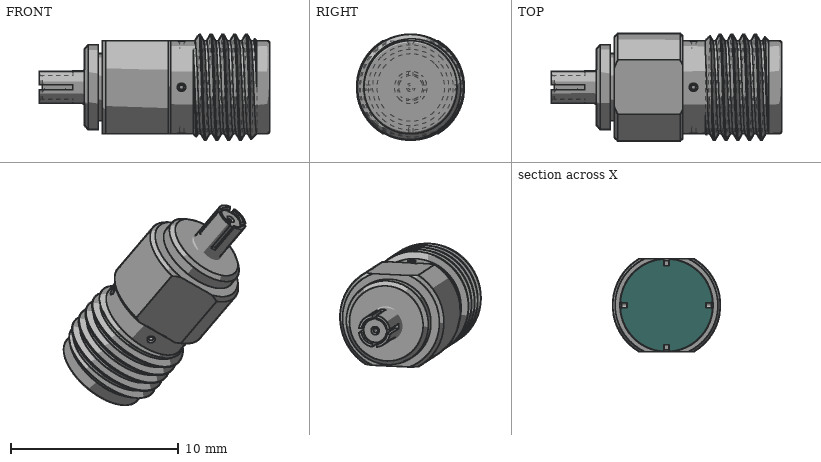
import cadquery as cq
import math


length = 13.8
flange_start = 2.7
flange_end = 3.55
grip_start = 3.77
grip_end = 7.88
thread_start = 9.22
thread_end = 13.01

pin_diameter = 1.95
flange_diameter = 5.09
neck_diameter = 4.05
grip_diameter = 6.46
barrel_diameter = 5.58
thread_diameter = 6.35

pin_root_fillet = 0.12
flange_chamfer_length = 0.23
flange_chamfer_depth = 0.26
grip_front_chamfer = 0.22
grip_rear_chamfer_length = 0.17
grip_rear_chamfer_depth = 0.15
barrel_end_fillet = 0.17

bore_diameter = 1.44
mouth_diameter = 1.61
mouth_depth = 0.1
insulator_face = 0.18
slot_width = 0.29
slot_end = 2.01
contact_diameter = 0.28
contact_depth = 1.38

entry_diameter = 0.5
entry_depth = 0.11
side_hole_x = 8.51
side_hole_diameter = 0.28
side_hole_depth = 0.41
side_hole_count = 4

pitch = 0.7
thread_angle = 60.0
crest_width = 0.08
thread_overlap = 0.05
runout_clearance = 0.14
crest_x_at_bottom = 9.23


def cylinder(diameter, start, end):
    return cq.Workplane("YZ").workplane(offset=start).circle(diameter / 2).extrude(end - start)


def revolve_profile(points):
    """Revolve a closed outline of (axial, radial) points about the X axis."""
    return cq.Workplane("XY").polyline(points).close().revolve(360, (0, 0, 0), (1, 0, 0))


def make_flange():
    radius = flange_diameter / 2
    return revolve_profile([
        (flange_start, 0),
        (flange_start, radius - flange_chamfer_depth),
        (flange_start + flange_chamfer_length, radius),
        (flange_end, radius),
        (flange_end, 0),
    ])


def make_pin():
    radius = pin_diameter / 2
    root = pin_root_fillet
    mid = root * (1 - math.sqrt(0.5))
    return (
        cq.Workplane("XY")
        .lineTo(0, radius)
        .lineTo(flange_start - root, radius)
        .threePointArc((flange_start - mid, radius + mid), (flange_start, radius + root))
        .lineTo(flange_start, 0)
        .close()
        .revolve(360, (0, 0, 0), (1, 0, 0))
    )


def make_grip():
    radius = grip_diameter / 2
    turned = revolve_profile([
        (grip_start, 0),
        (grip_start, radius - grip_front_chamfer),
        (grip_start + grip_front_chamfer, radius),
        (grip_end - grip_rear_chamfer_length, radius),
        (grip_end, radius - grip_rear_chamfer_depth),
        (grip_end, 0),
    ])
    flats = cq.Workplane("XY").box(2 * length, 2 * grip_diameter, barrel_diameter)
    return turned.intersect(flats)


def make_thread():
    barrel_radius = barrel_diameter / 2
    crest_radius = thread_diameter / 2
    root_radius = barrel_radius - thread_overlap
    half_crest = crest_width / 2
    half_root = half_crest + (crest_radius - root_radius) * math.tan(math.radians(thread_angle / 2))

    first_crest = crest_x_at_bottom - pitch
    turns = math.ceil((thread_end - first_crest) / pitch)
    helix = cq.Wire.makeHelix(pitch, turns * pitch, root_radius)
    ridge = (
        cq.Workplane("XZ")
        .polyline([
            (root_radius, -half_root),
            (crest_radius, -half_crest),
            (crest_radius, half_crest),
            (root_radius, half_root),
        ])
        .close()
        .sweep(cq.Workplane(helix), isFrenet=True)
        .rotate((0, 0, 0), (0, 1, 0), 90)
        .translate((first_crest, 0, 0))
    )

    inner_radius = root_radius - runout_clearance
    outer_radius = crest_radius + runout_clearance
    cone_start = thread_start - barrel_radius
    cone_end = thread_end + barrel_radius
    envelope = revolve_profile([
        (cone_start + inner_radius, inner_radius),
        (cone_start + outer_radius, outer_radius),
        (cone_end - outer_radius, outer_radius),
        (cone_end - inner_radius, inner_radius),
    ])
    return ridge.intersect(envelope)


def tapered_hole(diameter, depth):
    """Cutter entering at X = 0 toward +X, with a conical entry."""
    return revolve_profile([
        (0, 0),
        (0, entry_diameter / 2),
        (entry_depth, diameter / 2),
        (depth, diameter / 2),
        (depth, 0),
    ])


def cut_pin_end(body):
    mouth = revolve_profile([
        (0, 0),
        (0, mouth_diameter / 2),
        (mouth_depth, bore_diameter / 2),
        (insulator_face, bore_diameter / 2),
        (insulator_face, 0),
    ])
    slot_box = cq.Workplane("XY").box(slot_end, pin_diameter, slot_width).translate((slot_end / 2, 0, 0))
    slots = slot_box.union(slot_box.rotate((0, 0, 0), (1, 0, 0), 90))
    slots = slots.cut(cylinder(bore_diameter, insulator_face, slot_end))
    contact = tapered_hole(contact_diameter, contact_depth).translate((insulator_face, 0, 0))
    return body.cut(mouth).cut(slots).cut(contact)


def cut_side_holes(body):
    hole = (
        tapered_hole(side_hole_diameter, side_hole_depth)
        .rotate((0, 0, 0), (0, 1, 0), 90)
        .translate((side_hole_x, 0, barrel_diameter / 2))
    )
    for angle in range(0, 360, 360 // side_hole_count):
        body = body.cut(hole.rotate((0, 0, 0), (1, 0, 0), angle))
    return body


neck = cylinder(neck_diameter, flange_end, grip_start)
barrel = cylinder(barrel_diameter, grip_end, length).faces(">X").edges().fillet(barrel_end_fillet)
body = make_pin().union(make_flange()).union(neck).union(make_grip()).union(barrel)
body = cut_side_holes(cut_pin_end(body))
result = body.union(make_thread())